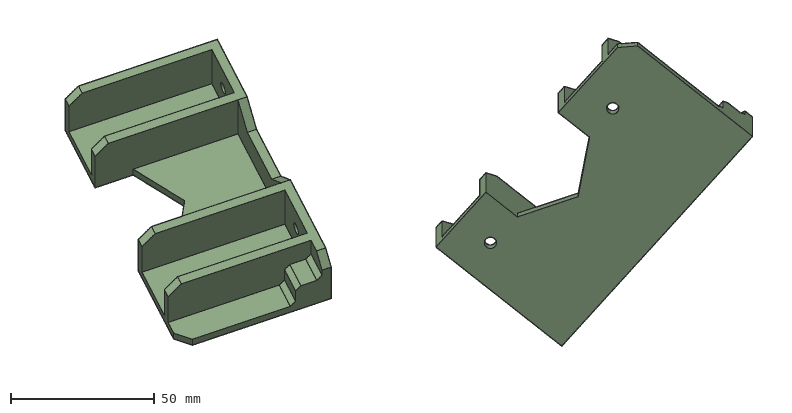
import cadquery as cq
import math

depth = 57.5
height = 23.5
wall = 3.4
floor = 3.5
back_wall = 3.5
chamfer = 5.0

channel_inner = 20.2
channel_width = channel_inner + 2 * wall
channel_pitch = 66.0
channel_starts = [0.0, channel_pitch]
flange_width = 10.0
flange_start = channel_pitch + channel_width
width = flange_start + flange_width
back_inner = depth - back_wall

web_start = channel_width
web_end = channel_pitch
web_middle = (web_start + web_end) / 2
web_side_y = 14.38
notch_angle = 30.0
notch_tip_y = web_side_y + (web_middle - web_start) * math.tan(math.radians(notch_angle))

dip_floor_z = 15.0
dip_run = height - dip_floor_z

hole_diameter = 4.2
hole_offset = 13.5

step_top_z = 13.5
step_depth = 10.0
step_front_y = back_inner - step_depth
step_chamfer = 2.0


def make_channel(x):
    """U-shaped channel, closed at the back, with its front top corners cut off."""
    profile = [
        (0, 0),
        (depth, 0),
        (depth, height),
        (chamfer, height),
        (0, height - chamfer),
    ]
    body = cq.Workplane("YZ").polyline(profile).close().extrude(channel_width)
    pocket = cq.Workplane("XY").box(channel_inner, back_inner, height, centered=False)
    pocket = pocket.translate((wall, 0, floor))
    return body.cut(pocket).translate((x, 0, 0))


def make_web():
    """Floor plate between the channels with a V-notched front edge."""
    outline = [
        (web_start, web_side_y),
        (web_middle, notch_tip_y),
        (web_end, web_side_y),
        (web_end, depth),
        (web_start, depth),
    ]
    return cq.Workplane("XY").polyline(outline).close().extrude(floor)


def make_back_wall():
    """Full-width back wall with a central dip and a cut-off +X top corner."""
    outline = [
        (0, 0),
        (width, 0),
        (width, height - chamfer),
        (width - chamfer, height),
        (web_end, height),
        (web_end - dip_run, dip_floor_z),
        (web_start + dip_run, dip_floor_z),
        (web_start, height),
        (0, height),
    ]
    wall_plane = cq.Workplane("XZ", origin=(0, depth, 0))
    return wall_plane.polyline(outline).close().extrude(back_wall)


def make_flange():
    """Floor plate on the +X side with its front outer corner cut off."""
    outline = [
        (flange_start, 0),
        (width - chamfer, 0),
        (width, chamfer),
        (width, depth),
        (flange_start, depth),
    ]
    return cq.Workplane("XY").polyline(outline).close().extrude(floor)


def make_flange_step():
    """Step across the flange: chamfered front edge, sloped joints to wall and floor."""
    profile = [
        (back_inner, 0),
        (step_front_y - step_chamfer, 0),
        (step_front_y - step_chamfer, floor),
        (step_front_y, floor + step_chamfer),
        (step_front_y, step_top_z - step_chamfer),
        (step_front_y + step_chamfer, step_top_z),
        (back_inner - step_chamfer, step_top_z),
        (back_inner, step_top_z + step_chamfer),
    ]
    plane = cq.Workplane("YZ", origin=(flange_start, 0, 0))
    return plane.polyline(profile).close().extrude(flange_width)


def make_holes(channel_x):
    """Screw holes through the floor and the back wall of one channel."""
    x = channel_x + channel_width / 2
    radius = hole_diameter / 2
    floor_hole = cq.Workplane("XY").center(x, hole_offset).circle(radius).extrude(floor)
    wall_plane = cq.Workplane("XZ", origin=(0, depth, 0))
    wall_hole = wall_plane.center(x, hole_offset).circle(radius).extrude(back_wall)
    return floor_hole.union(wall_hole)


body = make_back_wall().union(make_web()).union(make_flange()).union(make_flange_step())
for start in channel_starts:
    body = body.union(make_channel(start))
for start in channel_starts:
    body = body.cut(make_holes(start))

result = body.clean()